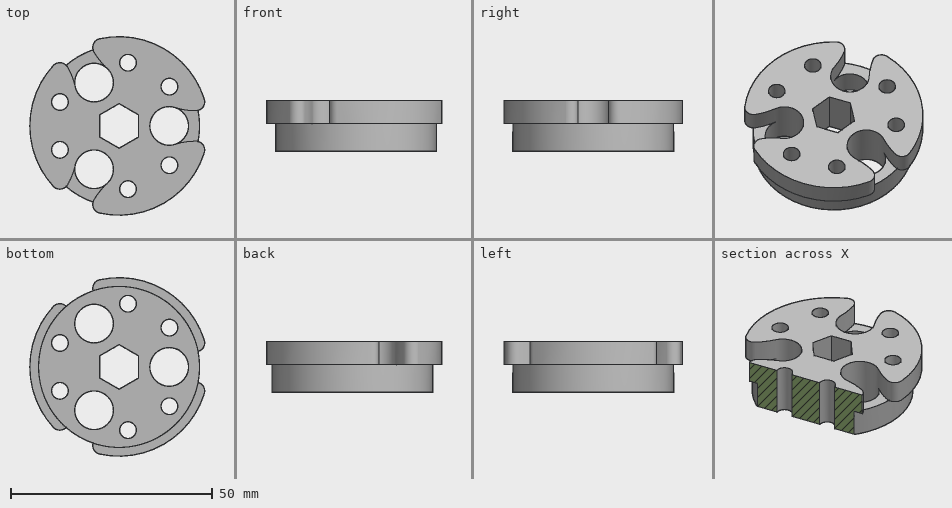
import cadquery as cq
import math

flange_radius = 22.2
hub_radius = 40.0 / 2
total_height = 12.7
flange_height = 5.75
hub_height = total_height - flange_height

bore_count = 3
bore_radius = 9.55 / 2
bore_offset = 12.43
gap_half_width = 3.77
lip_radius = 2.2
cut_clearance = 4.45

small_hole_diameter = 4.1
small_hole_offset = 15.85
small_hole_half_angle = 22.0

hex_across_flats = 9.55

bore_step = 360 / bore_count


def polar(radius, angle):
    return radius * math.cos(angle), radius * math.sin(angle)


def mirrored(point):
    return point[0], -point[1]


def shifted(center, radius, angle):
    dx, dy = polar(radius, angle)
    return center[0] + dx, center[1] + dy


def gap_cutter():
    """Gap on the +X side; its walls are arcs tangent to the bore and to the lips."""
    lip_y = gap_half_width + lip_radius
    lip_center = (math.sqrt((flange_radius - lip_radius) ** 2 - lip_y**2), lip_y)
    lip_angle = math.atan2(lip_center[1], lip_center[0])
    rim_point = polar(flange_radius, lip_angle)
    outside_point = polar(flange_radius + cut_clearance, lip_angle)
    lip_mid = shifted(lip_center, lip_radius, (lip_angle - math.pi / 2) / 2)

    wall_end = (lip_center[0], gap_half_width)
    run = lip_center[0] - bore_offset
    wall_radius = (run**2 + gap_half_width**2 - bore_radius**2) / (2 * (bore_radius - gap_half_width))
    wall_center = (lip_center[0], gap_half_width + wall_radius)
    bore_angle = math.atan2(wall_center[1], run)
    wall_start = shifted((bore_offset, 0), bore_radius, bore_angle)
    wall_mid_angle = (bore_angle - math.pi - math.pi / 2) / 2
    wall_mid = shifted(wall_center, wall_radius, wall_mid_angle)

    return (
        cq.Workplane("XY", origin=(0, 0, hub_height))
        .moveTo(*wall_start)
        .threePointArc(wall_mid, wall_end)
        .threePointArc(lip_mid, rim_point)
        .lineTo(*outside_point)
        .lineTo(*mirrored(outside_point))
        .lineTo(*mirrored(rim_point))
        .threePointArc(mirrored(lip_mid), mirrored(wall_end))
        .threePointArc(mirrored(wall_mid), mirrored(wall_start))
        .close()
        .extrude(flange_height)
    )


def hole_cutter(radial_offset, angle, diameter):
    """Through hole placed by its distance and angle (degrees) from the axis."""
    center = polar(radial_offset, math.radians(angle))
    return cq.Workplane("XY").center(*center).circle(diameter / 2).extrude(total_height)


def hex_cutter():
    """Hexagonal through socket with two flats facing +X and -X."""
    across_corners = hex_across_flats / math.cos(math.pi / 6)
    socket = cq.Workplane("XY").polygon(6, across_corners).extrude(total_height)
    return socket.rotate((0, 0, 0), (0, 0, 1), 30)


hub = cq.Workplane("XY").circle(hub_radius).extrude(hub_height)
flange = cq.Workplane("XY", origin=(0, 0, hub_height)).circle(flange_radius).extrude(flange_height)
result = hub.union(flange).cut(hex_cutter())

for index in range(bore_count):
    bore_direction = index * bore_step
    result = result.cut(hole_cutter(bore_offset, bore_direction, 2 * bore_radius))
    result = result.cut(gap_cutter().rotate((0, 0, 0), (0, 0, 1), bore_direction))
    pair_direction = bore_direction + bore_step / 2
    for side in (-1, 1):
        hole_angle = pair_direction + side * small_hole_half_angle
        result = result.cut(hole_cutter(small_hole_offset, hole_angle, small_hole_diameter))